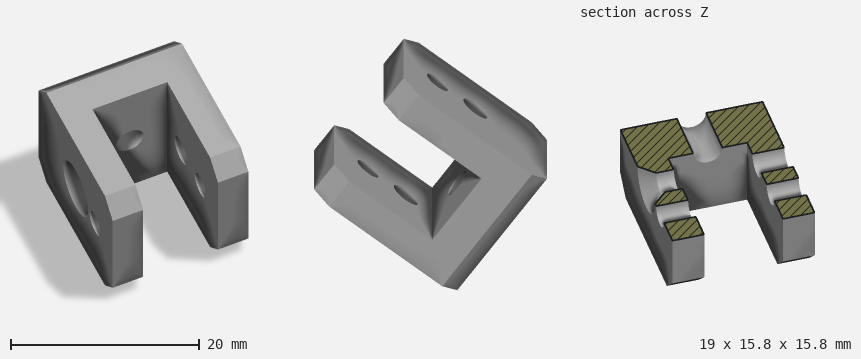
import cadquery as cq

LENGTH = 19.0
WIDTH = 15.8
HEIGHT = 15.8
CORNER_CHAMFER = 2.0

BACK_WALL = 6.0
SLOT_WIDTH = 8.7

SCREW_DIAMETER = 3.2
SCREW_RAISE = 0.1
PIN_DIAMETER = 2.8
PIN_OFFSET = 5.0
SINK_DIAMETER = 2 * SCREW_DIAMETER
SINK_DEPTH = (SINK_DIAMETER - SCREW_DIAMETER) / 2


def make_block():
    """Block with its four edges along Y chamfered."""
    block = cq.Workplane("XY").box(LENGTH, WIDTH, HEIGHT)
    return block.edges("|Y").chamfer(CORNER_CHAMFER)


def make_slot():
    """Full-height slot, open towards +X."""
    slot_length = LENGTH - BACK_WALL
    slot = cq.Workplane("XY").box(slot_length, SLOT_WIDTH, HEIGHT)
    return slot.translate((BACK_WALL / 2, 0, 0))


def make_cross_hole(x, z, diameter):
    """Cylinder along Y through both cheeks."""
    hole = cq.Workplane("XZ").center(x, z).circle(diameter / 2)
    return hole.extrude(WIDTH / 2, both=True)


def make_countersink():
    """Cone narrowing from the -Y face down to the screw hole."""
    cone = cq.Solid.makeCone(
        SINK_DIAMETER / 2,
        SCREW_DIAMETER / 2,
        SINK_DEPTH,
        pnt=cq.Vector(0, -WIDTH / 2, SCREW_RAISE),
        dir=cq.Vector(0, 1, 0),
    )
    return cq.Workplane(cone)


def make_back_wall_hole():
    """Cylinder along X through the back wall."""
    hole = cq.Workplane("YZ", origin=(-LENGTH / 2, 0, 0)).circle(SCREW_DIAMETER / 2)
    return hole.extrude(BACK_WALL)


result = (
    make_block()
    .cut(make_slot())
    .cut(make_cross_hole(0, SCREW_RAISE, SCREW_DIAMETER))
    .cut(make_countersink())
    .cut(make_cross_hole(PIN_OFFSET, 0, PIN_DIAMETER))
    .cut(make_back_wall_hole())
)